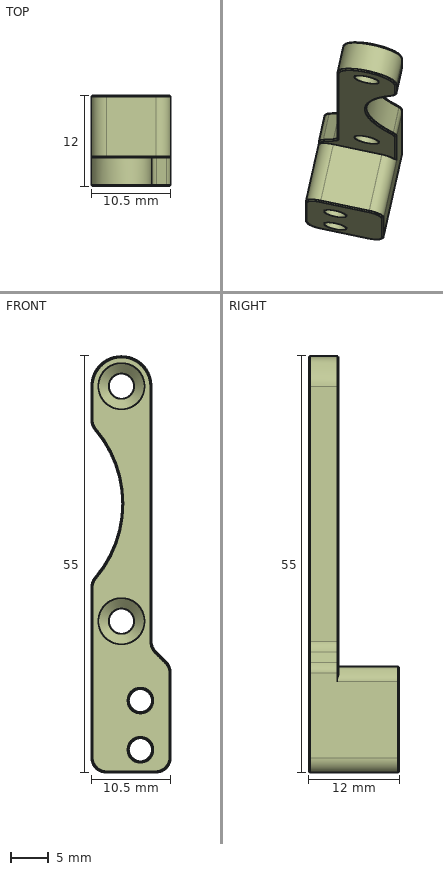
import cadquery as cq

height = 55.0
foot_width = 10.5
foot_depth = 12.0
foot_height = 14.0
arm_width = 8.0
plate_thickness = 3.95
corner_radius = 2.0
edge_chamfer = 0.2

arm_end_radius = arm_width / 2
mount_x = arm_width / 2
mount_spacing = 31.0
upper_mount_z = height - arm_end_radius
lower_mount_z = upper_mount_z - mount_spacing
mount_diameter = 3.3
countersink_diameter = 6.1
countersink_angle = 90

notch_radius = 15.0
notch_depth = 4.05
notch_x = notch_depth - notch_radius
notch_z = (upper_mount_z + lower_mount_z) / 2

foot_hole_diameter = 3.0
foot_hole_x = 6.5
foot_hole_heights = (3.0, 9.5)

shoulder_top_z = foot_height + foot_width - arm_width


def cylinder(x, z, diameter, length):
    """Cylinder running back from the front face."""
    return cq.Workplane("XZ", origin=(x, 0, z)).circle(diameter / 2).extrude(-length)


def cone(x, z, front_diameter, depth):
    """90 degree cone frustum narrowing back from the front face."""
    front_radius = front_diameter / 2
    solid = cq.Solid.makeCone(
        front_radius, front_radius - depth, depth, cq.Vector(x, 0, z), cq.Vector(0, 1, 0)
    )
    return cq.Workplane(solid)


def make_plate():
    """Full-height plate with its outline chamfered on both faces."""
    outline = (
        cq.Workplane("XZ")
        .lineTo(foot_width, 0)
        .lineTo(foot_width, foot_height)
        .lineTo(arm_width, shoulder_top_z)
        .lineTo(arm_width, upper_mount_z)
        .threePointArc((mount_x, height), (0, upper_mount_z))
        .close()
    )
    plate = outline.extrude(-plate_thickness)
    plate = plate.cut(cylinder(notch_x, notch_z, 2 * notch_radius, plate_thickness))

    corners = plate.edges("|Y").filter(lambda edge: edge.Center().z < upper_mount_z - edge_chamfer)
    plate = corners.fillet(corner_radius)
    return plate.faces("<Y or >Y").edges().chamfer(edge_chamfer)


def make_foot():
    """Rounded block behind the plate, with its rear outline chamfered."""
    start = edge_chamfer
    return (
        cq.Workplane("XY")
        .box(foot_width, foot_depth - start, foot_height, centered=False)
        .translate((0, start, 0))
        .edges("|Y")
        .fillet(corner_radius)
        .faces(">Y")
        .edges()
        .chamfer(edge_chamfer)
    )


result = make_plate().union(make_foot())

for mount_z in (lower_mount_z, upper_mount_z):
    result = (
        result.copyWorkplane(cq.Workplane("XZ", origin=(mount_x, 0, mount_z)))
        .cskHole(mount_diameter, countersink_diameter, countersink_angle)
    )

for hole_z in foot_hole_heights:
    result = result.cut(cylinder(foot_hole_x, hole_z, foot_hole_diameter, foot_depth))
    mouth_diameter = foot_hole_diameter + 2 * edge_chamfer
    result = result.cut(cone(foot_hole_x, hole_z, mouth_diameter, edge_chamfer))